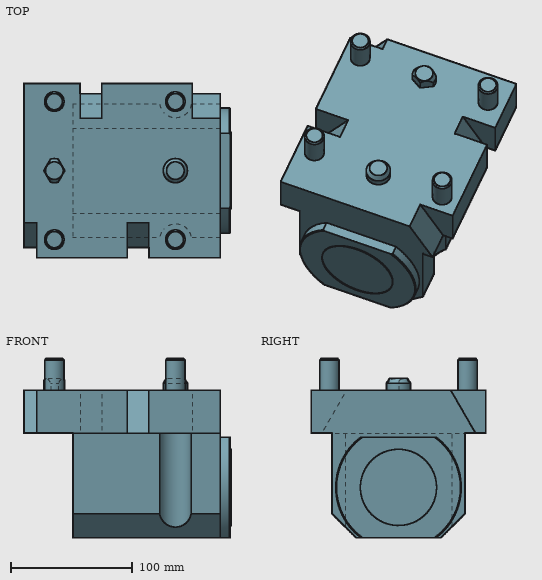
import cadquery as cq
import math

plate_length = 162.1
plate_width = 144.0
plate_bottom = 86.4
plate_thickness = 35.4
plate_top = plate_bottom + plate_thickness

notch_depth_top = 28.9
floor_angle = 30
notch_depth_bottom = notch_depth_top - plate_thickness * math.tan(math.radians(floor_angle))
tooth_length = 74.9
slot_length = 17.8
front_tooth_start = 10.5
back_slot_start = 46.3

body_start = 40.4
body_width = 110.0
body_chamfer = 20.0

bolt_diameter = 16.0
bolt_height = 26.2
bolt_chamfer = 1.4
bolt_x_near = 25.1
bolt_x_far = 125.0
bolt_y = plate_width / 2 - 15.0
groove_diameter = 26.3

pin_diameter = 20.0
pin_height = 10.0
pin_taper_height = 4.1
pin_taper_inset = 2.7
diamond_width = 17.3
diamond_side_angle = 60

cap_diameter = 103.6
cap_chamfer = 0.7
cap_height = 83.1
cap_end = 170.3
boss_diameter = 63.0
boss_end = 171.0


def make_notch(start, end, side):
    """Wedge cutter between two X positions; side is -1 for -Y and +1 for +Y."""
    edge = plate_width / 2
    return (
        cq.Workplane("YZ", origin=(start, 0, 0))
        .moveTo(side * edge, plate_bottom)
        .lineTo(side * (edge - notch_depth_bottom), plate_bottom)
        .lineTo(side * (edge - notch_depth_top), plate_top)
        .lineTo(side * edge, plate_top)
        .close()
        .extrude(end - start)
    )


def make_plate():
    plate = cq.Workplane(origin=(plate_length / 2, 0, plate_bottom)).box(
        plate_length, plate_width, plate_thickness, centered=(True, True, False)
    )
    front_slot_start = front_tooth_start + tooth_length
    back_tooth_start = back_slot_start + slot_length
    notches = [
        (0, front_tooth_start, -1),
        (front_slot_start, front_slot_start + slot_length, -1),
        (back_slot_start, back_tooth_start, 1),
        (back_tooth_start + tooth_length, plate_length, 1),
    ]
    for start, end, side in notches:
        plate = plate.cut(make_notch(start, end, side))
    return plate


def make_body():
    body = (
        cq.Workplane(origin=(body_start, 0, 0))
        .box(plate_length - body_start, body_width, plate_bottom, centered=(False, True, False))
        .faces("<Z")
        .edges("|X")
        .chamfer(body_chamfer)
    )
    grooves = (
        cq.Workplane()
        .pushPoints([(bolt_x_far, -bolt_y), (bolt_x_far, bolt_y)])
        .circle(groove_diameter / 2)
        .extrude(plate_bottom)
    )
    return body.cut(grooves)


def make_bolt(x, y):
    return (
        cq.Workplane(origin=(x, y, plate_top))
        .circle(bolt_diameter / 2)
        .extrude(bolt_height)
        .faces(">Z")
        .chamfer(bolt_chamfer)
    )


def make_pin(x):
    return (
        cq.Workplane(origin=(x, 0, plate_top))
        .circle(pin_diameter / 2)
        .extrude(pin_height)
        .faces(">Z")
        .edges()
        .chamfer(pin_taper_height, pin_taper_inset)
    )


def make_diamond_pin(x):
    half_width = diamond_width / 2
    half_length = half_width * math.tan(math.radians(diamond_side_angle))
    rhombus = (
        cq.Workplane(origin=(x, 0, plate_top))
        .polyline([(half_width, 0), (0, half_length), (-half_width, 0), (0, -half_length)])
        .close()
        .extrude(pin_height)
    )
    return make_pin(x).intersect(rhombus)


def make_end_cap():
    """Chamfered round cap with flats at top and bottom, and a thin round boss on its face."""
    center_z = cap_height / 2
    cap_thickness = cap_end - plate_length
    face = cq.Workplane("YZ", origin=(plate_length, 0, center_z))
    flats = face.rect(cap_diameter, cap_height).extrude(cap_thickness)
    disc = face.circle(cap_diameter / 2).extrude(cap_thickness).faces(">X").chamfer(cap_chamfer)
    cap = disc.intersect(flats)
    boss = face.circle(boss_diameter / 2).extrude(boss_end - plate_length)
    return cap.union(boss)


result = make_plate().union(make_body()).union(make_end_cap())
for bolt_x in (bolt_x_near, bolt_x_far):
    for side in (-1, 1):
        result = result.union(make_bolt(bolt_x, side * bolt_y))
result = result.union(make_diamond_pin(bolt_x_near)).union(make_pin(bolt_x_far))